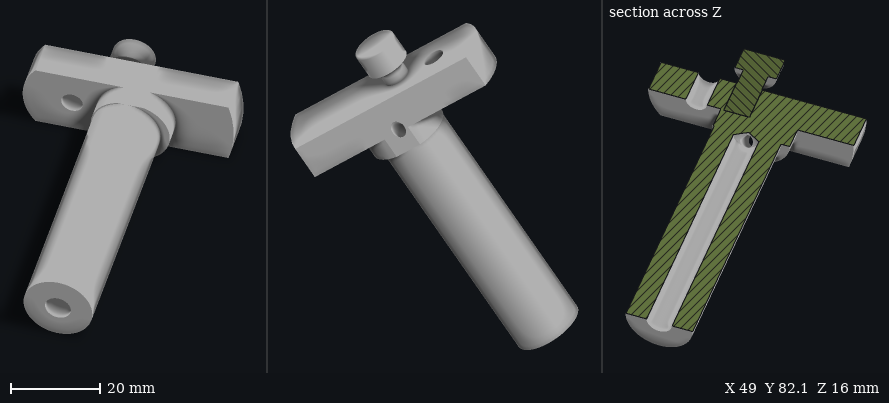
import cadquery as cq
import math


rod_diameter = 16.0
rod_length = 58.4
bore_diameter = 6.0
bore_depth = 57.4
bore_tip_angle = 118.0
slanted_hole_diameter = 3.0
slanted_hole_angle = 45.0
slanted_hole_setback = 3.0

plate_height = rod_diameter
plate_thickness = 8.45
plate_left = -25.5
plate_right = 23.5
left_end_radius = 12.3
right_end_radius = 27.1
through_hole_diameter = 5.0
through_hole_x = -14.0
boss_height = 5.2
boss_radius = 8.3
boss_spread = 1.8

screw_x = -4.4
head_diameter = 10.0
head_height = 6.0
head_edge_radius = 0.5
shank_diameter = 6.0
shank_exposed = 4.0
neck_fillet_radius = 0.25
shank_depth = plate_thickness

half_height = plate_height / 2
rod_end_y = -boss_height - rod_length


def cylinder_y(diameter, start_y, end_y, x=0):
    """Cylinder parallel to Y, from start_y up to end_y, at Z = 0."""
    base = cq.Workplane("XZ", origin=(x, start_y, 0))
    return base.circle(diameter / 2).extrude(start_y - end_y)


def chord_half_width(radius):
    """Distance from an arc centre to where the arc meets the flat long sides."""
    return math.sqrt(radius**2 - half_height**2)


def make_plate():
    left_corner = plate_left + left_end_radius - chord_half_width(left_end_radius)
    right_corner = plate_right - right_end_radius + chord_half_width(right_end_radius)
    return (
        cq.Workplane("XZ")
        .moveTo(left_corner, -half_height)
        .lineTo(right_corner, -half_height)
        .threePointArc((plate_right, 0), (right_corner, half_height))
        .lineTo(left_corner, half_height)
        .threePointArc((plate_left, 0), (left_corner, -half_height))
        .close()
        .extrude(-plate_thickness)
    )


def make_boss():
    """Oblong boss with its top and bottom cut flush with the plate."""
    left_corner = -chord_half_width(boss_radius)
    right_corner = boss_spread - left_corner
    return (
        cq.Workplane("XZ")
        .moveTo(left_corner, -half_height)
        .lineTo(right_corner, -half_height)
        .threePointArc((boss_spread + boss_radius, 0), (right_corner, half_height))
        .lineTo(left_corner, half_height)
        .threePointArc((-boss_radius, 0), (left_corner, -half_height))
        .close()
        .extrude(boss_height)
    )


def make_bore():
    """Drilled hole with a conical bottom, with a slanted hole running on to the underside of the plate."""
    bore_radius = bore_diameter / 2
    shoulder_y = rod_end_y + bore_depth
    tip_y = shoulder_y + bore_radius / math.tan(math.radians(bore_tip_angle / 2))
    drilled = (
        cq.Workplane("XY")
        .moveTo(0, rod_end_y)
        .lineTo(bore_radius, rod_end_y)
        .lineTo(bore_radius, shoulder_y)
        .lineTo(0, tip_y)
        .close()
        .revolve(360, (0, 0, 0), (0, 1, 0))
    )
    slope = math.radians(slanted_hole_angle)
    slanted_plane = cq.Plane(
        origin=(0, tip_y - slanted_hole_setback, 0),
        xDir=(1, 0, 0),
        normal=(0, math.cos(slope), -math.sin(slope)),
    )
    slanted_length = rod_diameter / math.sin(slope)
    slanted_hole = (
        cq.Workplane(slanted_plane).circle(slanted_hole_diameter / 2).extrude(slanted_length)
    )
    return drilled.union(slanted_hole)


def make_handle():
    rod = cylinder_y(rod_diameter, rod_end_y, -boss_height)
    through_hole = cylinder_y(through_hole_diameter, 0, plate_thickness, through_hole_x)
    screw_hole = cylinder_y(
        shank_diameter, plate_thickness - shank_depth, plate_thickness, screw_x
    )
    body = make_plate().union(make_boss()).union(rod)
    return body.cut(make_bore()).cut(through_hole).cut(screw_hole)


def make_screw():
    head_start_y = plate_thickness + shank_exposed
    head = cylinder_y(head_diameter, head_start_y, head_start_y + head_height, screw_x)
    head = head.faces(">Y").edges().fillet(head_edge_radius)
    shank = cylinder_y(
        shank_diameter, plate_thickness - shank_depth, head_start_y, screw_x
    )
    neck = cq.selectors.NearestToPointSelector((screw_x, head_start_y, 0))
    return head.union(shank).edges(neck).fillet(neck_fillet_radius)


handle = make_handle()
screw = make_screw()

result = cq.Compound.makeCompound([handle.val(), screw.val()])